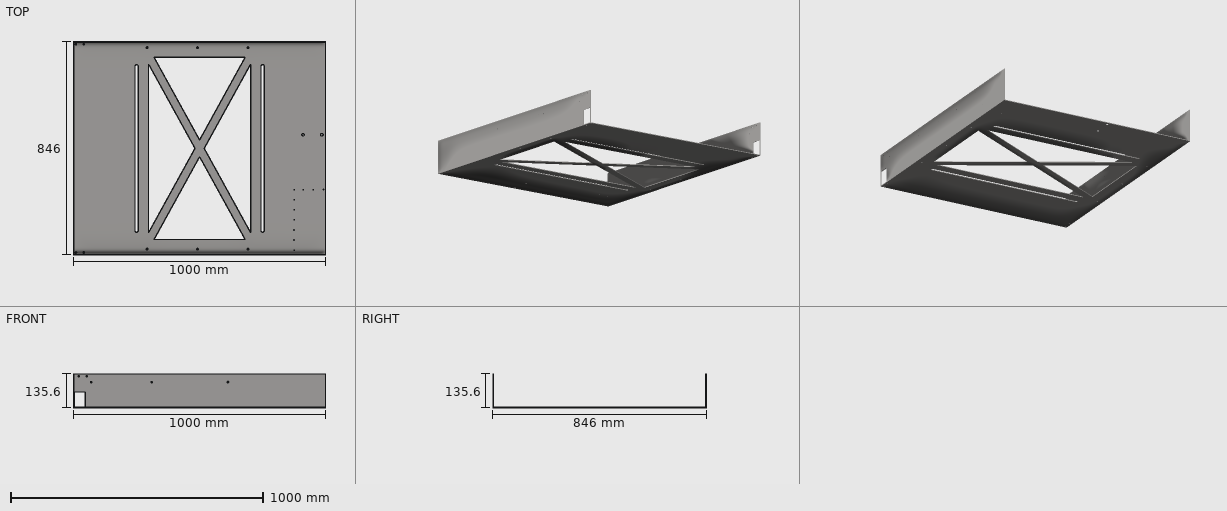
import cadquery as cq
import math

LENGTH = 1000.0
WIDTH = 846.0
HEIGHT = 135.6
SHEET = 3.0
HALF_WIDTH = WIDTH / 2

OPENING_CENTER_X = LENGTH / 2
OPENING_LENGTH = 404.0
OPENING_WIDTH = 722.0
BRACE_WIDTH = 32.8
BRACE_ANGLE = 61.16

SLOT_OFFSET = 250.0
SLOT_WIDTH = 12.0
SLOT_LENGTH = 664.0

EDGE_HOLE_DIAMETER = 6.0
EDGE_HOLE_INSET = 23.5
EDGE_HOLE_START_X = 292.0
EDGE_HOLE_PITCH = 200.0
EDGE_HOLE_COUNT = 3

CORNER_HOLE_DIAMETER = 5.0
CORNER_HOLE_INSET = 10.0
CORNER_HOLE_START_X = 9.5
CORNER_HOLE_PITCH = 31.0
CORNER_HOLE_COUNT = 2

LARGE_HOLE_DIAMETER = 9.5
LARGE_HOLE_Y = 54.0
LARGE_HOLE_XS = (910.0, 985.0)

PILOT_DIAMETER = 1.5
PILOT_PITCH = 40.0
PILOT_CORNER_X = 875.0
PILOT_CORNER_Y = -HALF_WIDTH + 259.5
PILOT_COLUMN_COUNT = 7
PILOT_ROW_START_X = 911.0
PILOT_ROW_COUNT = 3

WINDOW_START_X = 3.5
WINDOW_LENGTH = 43.0
WINDOW_HEIGHT = 60.0

WALL_HOLE_DIAMETER = 5.0
UPPER_HOLE_XS = (21.0, 52.5)
UPPER_HOLE_DROP = 10.0
LOWER_HOLE_XS = (70.0, 310.0, 612.5)
LOWER_HOLE_DROP = 33.0


def make_tray():
    tray = cq.Workplane("XY").box(LENGTH, WIDTH, SHEET, centered=(False, True, False))
    for side in (-1, 1):
        wall = (
            cq.Workplane("XY")
            .center(LENGTH / 2, side * (HALF_WIDTH - SHEET / 2))
            .box(LENGTH, SHEET, HEIGHT, centered=(True, True, False))
        )
        tray = tray.union(wall)
    return tray


def floor_holes(points, diameter):
    return cq.Workplane("XY").pushPoints(points).circle(diameter / 2).extrude(SHEET)


def wall_holes(xs, drop):
    """A row of holes through both walls, a given drop below their top edges."""
    points = [(x, HEIGHT - drop) for x in xs]
    return (
        cq.Workplane("XZ")
        .pushPoints(points)
        .circle(WALL_HOLE_DIAMETER / 2)
        .extrude(HALF_WIDTH, both=True)
    )


def braced_opening():
    """Rectangular cutter less two crossed braces, leaving four triangles."""
    opening = (
        cq.Workplane("XY")
        .center(OPENING_CENTER_X, 0)
        .rect(OPENING_LENGTH, OPENING_WIDTH)
        .extrude(SHEET)
    )
    brace_length = math.hypot(OPENING_LENGTH, OPENING_WIDTH) + 2 * BRACE_WIDTH
    for turn in (-BRACE_ANGLE, BRACE_ANGLE):
        brace = (
            cq.Workplane("XY")
            .rect(brace_length, BRACE_WIDTH)
            .extrude(SHEET)
            .rotate((0, 0, 0), (0, 0, 1), turn)
            .translate((OPENING_CENTER_X, 0, 0))
        )
        opening = opening.cut(brace)
    return opening


def long_slots():
    points = [(OPENING_CENTER_X + side * SLOT_OFFSET, 0) for side in (-1, 1)]
    return cq.Workplane("XY").pushPoints(points).slot2D(SLOT_LENGTH, SLOT_WIDTH, 90).extrude(SHEET)


def edge_holes(start_x, pitch, count, inset, diameter):
    """The same row of floor holes along both walls."""
    points = [
        (start_x + i * pitch, side * (HALF_WIDTH - inset))
        for i in range(count)
        for side in (-1, 1)
    ]
    return floor_holes(points, diameter)


def pilot_holes():
    column = [(PILOT_CORNER_X, PILOT_CORNER_Y - i * PILOT_PITCH) for i in range(PILOT_COLUMN_COUNT)]
    row = [(PILOT_ROW_START_X + i * PILOT_PITCH, PILOT_CORNER_Y) for i in range(PILOT_ROW_COUNT)]
    return floor_holes(column + row, PILOT_DIAMETER)


def cable_windows():
    return (
        cq.Workplane("XY")
        .box(WINDOW_LENGTH, WIDTH, WINDOW_HEIGHT, centered=(False, True, False))
        .translate((WINDOW_START_X, 0, SHEET))
    )


cutters = [
    braced_opening(),
    long_slots(),
    edge_holes(EDGE_HOLE_START_X, EDGE_HOLE_PITCH, EDGE_HOLE_COUNT, EDGE_HOLE_INSET, EDGE_HOLE_DIAMETER),
    edge_holes(
        CORNER_HOLE_START_X,
        CORNER_HOLE_PITCH,
        CORNER_HOLE_COUNT,
        CORNER_HOLE_INSET,
        CORNER_HOLE_DIAMETER,
    ),
    floor_holes([(x, LARGE_HOLE_Y) for x in LARGE_HOLE_XS], LARGE_HOLE_DIAMETER),
    pilot_holes(),
    cable_windows(),
    wall_holes(UPPER_HOLE_XS, UPPER_HOLE_DROP),
    wall_holes(LOWER_HOLE_XS, LOWER_HOLE_DROP),
]

result = make_tray()
for cutter in cutters:
    result = result.cut(cutter)